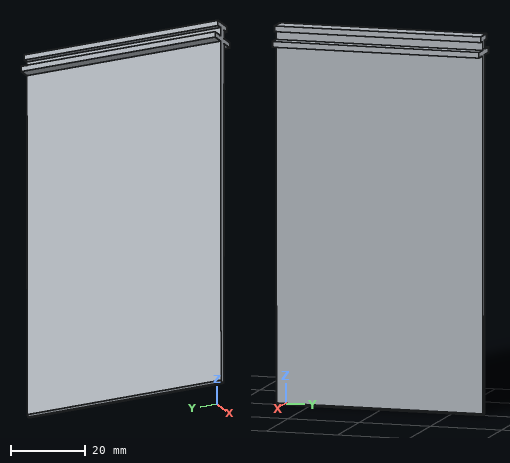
import cadquery as cq

height = 103.8
length = 58.0

flange_width = 9.0
cap_width = 5.5
plate_thickness = 1.6
neck_width = 2.3
neck_height = 2.4

blade_tip_half_width = 0.84
tip_chamfer = 0.5

cap_bottom = height - plate_thickness
flange_top = cap_bottom - neck_height
flange_bottom = flange_top - plate_thickness

half_profile = [
    (cap_width / 2, height),
    (cap_width / 2, cap_bottom),
    (neck_width / 2, cap_bottom),
    (neck_width / 2, flange_top),
    (flange_width / 2, flange_top),
    (flange_width / 2, flange_bottom),
    (neck_width / 2, flange_bottom),
    (blade_tip_half_width, tip_chamfer),
    (blade_tip_half_width - tip_chamfer, 0),
]
mirrored_half = [(-x, z) for x, z in reversed(half_profile)]

result = (
    cq.Workplane("XZ")
    .polyline(half_profile + mirrored_half)
    .close()
    .extrude(length / 2, both=True)
)